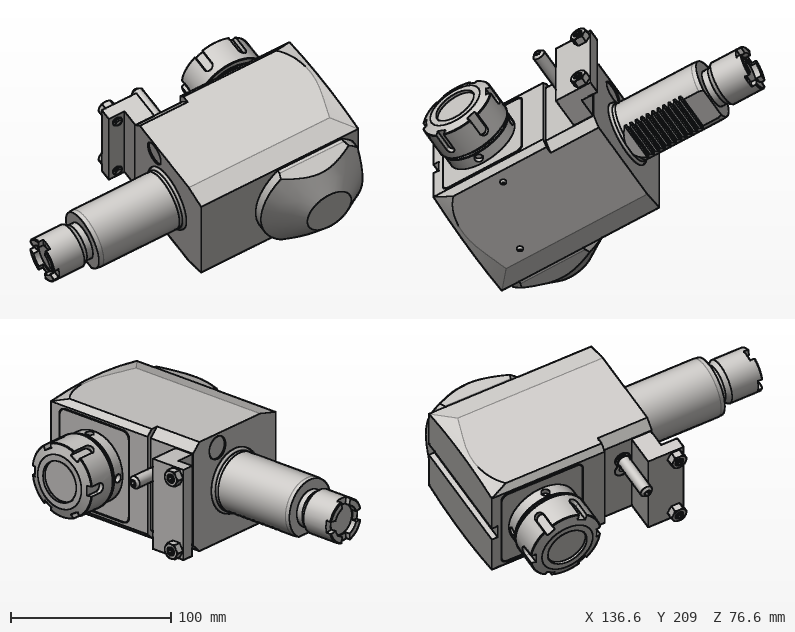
import math

import cadquery as cq


HALF_HEIGHT = 37.5
BODY_LENGTH = 116.0
BODY_RIGHT = 39.0
HEAD_LEFT = -42.0
FOOT_LEFT = -39.0
FOOT_LENGTH = 35.3
HEAD_CHAMFER = 4.0
FOOT_CHAMFER = 6.0
TAPER_RUN = 14.7
TAPER_TAN = math.tan(math.radians(15))
TAPER_DROP = TAPER_RUN * TAPER_TAN
BEVEL_LENGTH = 12.2
BEVEL_CREST_X = -13.0
BEVEL_CREST_LENGTH = 3.2
BEVEL_CREST_DROP = 0.9
CREST_START_DIRECTION = cq.Vector(1, 0.95, 0)
CREST_END_DIRECTION = cq.Vector(1, -0.3, 0)
KEYWAY_WIDTH = 10.2
KEYWAY_DEPTH = 4.1
PORT_X = -16.0
PORT_Z = 27.8
PORT_RADIUS = 7.7
PORT_DEPTH = 1.0

SEAM_LENGTH = 58.4
SEAM_HEIGHT = 63.4
SEAM_CORNER = 5.0
SEAM_WIDTH = 0.4
SEAM_DEPTH = 0.4

SPINDLE_Y = 80.0
COLLAR_RADIUS = 23.9
COLLAR_FRONT = -50.2
COLLAR_HOLE_X = -46.3
COLLAR_HOLE_RADIUS = 2.75
COLLAR_HOLE_DEPTH = 4.0
NECK_RADIUS = 20.8
NUT_RADIUS = 25.0
NUT_REAR = -52.4
NUT_TIP = -74.4
NUT_CONE_LENGTH = 2.2
NUT_EDGE_CHAMFER = 0.4
NUT_FACE_RADIUS = 18.2
NUT_BORE_RADIUS = 13.9
NUT_BORE_DEPTH = 2.0
NUT_SLOT_DEPTH = 3.3
NUT_SLOT_WIDTH = 6.2
NUT_SLOT_LENGTH = 17.0
NUT_SIDE_SLOT_WIDTH = 6.8
NUT_SIDE_SLOT_LENGTH = 12.9

COVER_RADIUS = 39.8
COVER_TIP_RADIUS = 16.2
COVER_RIM_END = 45.2
COVER_TIP = 62.2
COVER_BACK_FLAT = 31.6
COVER_HALF_HEIGHT = 32.0
COVER_TAPER_START = 41.3

FLANGE_RADIUS = 21.8
FLANGE_LENGTH = 1.9
FLANGE_FILLET = 1.4
SHANK_SEAT_RADIUS = 20.0
SHANK_SEAT_END = -3.7
SHANK_RADIUS = 19.9
SHANK_RELIEF_LENGTH = 0.3
SHANK_END = -63.1
SHANK_CHAMFER_START = -60.0
SHANK_END_RADIUS = 19.5
DRIVE_NECK_RADIUS = 12.5
DRIVE_NECK_END = -67.5
DRIVE_RADIUS = 14.8
DRIVE_START = -70.8
DRIVE_END = -93.0
DRIVE_CHAMFER = 0.6
DRIVE_BORE_RADIUS = 10.3
DRIVE_BORE_DEPTH = 4.2
DRIVE_SLOT_DEPTH = 3.5
DRIVE_SLOT_INNER_WIDTH = 6.3
DRIVE_SLOT_OUTER_WIDTH = 8.6

TOOTH_TIP_Z = -16.3
TOOTH_ROOT_Z = -14.6
TOOTH_PITCH = 4.0
TOOTH_COUNT = 11
TOOTH_ROOT_WIDTH = 1.2
TOOTH_TIP_WIDTH = 0.8
FIRST_ROOT_Y = -7.5

BRACKET_LEFT = -60.4
BRACKET_LEG_THICKNESS = 8.3
BRACKET_TOP_Y = 14.5
BRACKET_STEP_Y = 0.6
BRACKET_BOTTOM_Y = -10.9
BRACKET_HALF_HEIGHT = 31.0
SCREW_Y = -4.9
SCREW_Z = 25.0
SCREW_RADIUS = 3.2
SCREW_PROJECTION = 2.0
SCREW_TIP = -66.2
SCREW_END_CHAMFER = 0.9
SCREW_SOCKET_FLATS = 3.0
SCREW_SOCKET_DEPTH = 3.0
LOCKNUT_FLATS = 9.9
LOCKNUT_HEIGHT = 5.2
LOCKNUT_CHAMFER = 0.7

PIN_Y = 21.1
PIN_Z = 16.0
PIN_RADIUS = 4.1
PIN_TIP = -71.8
PIN_CHAMFER = 1.8
PIN_COLLAR_RADIUS = 5.3
PIN_COLLAR_HEIGHT = 2.0
PIN_COLLAR_CHAMFER = 0.8
PIN_SOCKET_FLATS = 3.4
PIN_SOCKET_DEPTH = 3.0
PLUG_Z = 6.2
PLUG_RADIUS = 5.2
PLUG_RECESS = 0.3
PLUG_HOLE_RADIUS = 1.8
PLUG_HOLE_DEPTH = 3.0

BUTTON_RADIUS = 2.0
BUTTON_TIP_RADIUS = 0.7
BUTTON_HEIGHT = 1.6
BUTTON_PLACES = [(-30.5, 71.8), (16.7, 88.7)]

EMBED = 2.0


def x_plane(x, y=0.0, z=0.0):
    """Sketch plane at x whose local axes are Y and Z and whose normal is +X."""
    return cq.Workplane("YZ", origin=(x, y, z))


def turned_about_x(points, y, z=0.0):
    """Solid of revolution from (x, radius) points about the X-parallel line through y, z."""
    profile = cq.Workplane("XY", origin=(0, y, z)).polyline(points).close()
    return profile.revolve(360, (0, 0, 0), (1, 0, 0))


def turned_about_y(points):
    """Solid of revolution from (radius, y) points about the Y axis."""
    return cq.Workplane("XY").polyline(points).close().revolve(360, (0, 0, 0), (0, 1, 0))


def mirrored_in_z(points):
    """Close an upper outline of (x, z) points with its mirror image below Z = 0."""
    return points + [(x, -z) for x, z in reversed(points)]


def housing_length(left, chamfer, y_start, y_end):
    """Length of housing with chamfered left edges and tapered right edges."""
    upper = [
        (left, HALF_HEIGHT - chamfer),
        (left + chamfer, HALF_HEIGHT),
        (BODY_RIGHT - TAPER_RUN, HALF_HEIGHT),
        (BODY_RIGHT, HALF_HEIGHT - TAPER_DROP),
    ]
    profile = cq.Workplane("XZ", origin=(0, y_start, 0)).polyline(mirrored_in_z(upper)).close()
    return profile.extrude(y_start - y_end)


def rear_bevel():
    """Waste above the curved rear bevel, whose lower edge is bowed and whose upper edge is a crest."""
    bevel_y = BODY_LENGTH - BEVEL_LENGTH
    rear_edge = cq.Edge.makeThreePointArc(
        cq.Vector(HEAD_LEFT, BODY_LENGTH, HALF_HEIGHT - HEAD_CHAMFER),
        cq.Vector(BEVEL_CREST_X, BODY_LENGTH, HALF_HEIGHT - BEVEL_CREST_DROP),
        cq.Vector(BODY_RIGHT, BODY_LENGTH, HALF_HEIGHT - TAPER_DROP),
    )
    crest = cq.Edge.makeSpline(
        [
            cq.Vector(HEAD_LEFT + HEAD_CHAMFER, bevel_y, HALF_HEIGHT),
            cq.Vector(BEVEL_CREST_X, BODY_LENGTH - BEVEL_CREST_LENGTH, HALF_HEIGHT),
            cq.Vector(BODY_RIGHT - TAPER_RUN, bevel_y, HALF_HEIGHT),
        ],
        tangents=[CREST_START_DIRECTION, CREST_END_DIRECTION],
    )
    surface = cq.Face.makeRuledSurface(rear_edge, crest)
    return cq.Workplane(cq.Solid.extrudeLinear(surface, cq.Vector(0, BEVEL_LENGTH, BEVEL_LENGTH)))


def housing():
    body = housing_length(HEAD_LEFT, HEAD_CHAMFER, FOOT_LENGTH, BODY_LENGTH)
    body = body.union(housing_length(FOOT_LEFT, FOOT_CHAMFER, 0, FOOT_LENGTH))
    waste = rear_bevel()
    body = body.cut(waste).cut(waste.mirror("XY"))
    width = BODY_RIGHT - HEAD_LEFT
    keyway = cq.Workplane("XY").box(2 * width, 2 * KEYWAY_DEPTH, KEYWAY_WIDTH)
    body = body.cut(keyway.translate((0, BODY_LENGTH, 0)))
    port = cq.Workplane("XZ", origin=(PORT_X, 0, PORT_Z)).circle(PORT_RADIUS).extrude(-PORT_DEPTH)
    return body.cut(port).cut(flange_seam())


def flange_seam():
    start = x_plane(HEAD_LEFT, SPINDLE_Y)
    outer = start.rect(SEAM_LENGTH, SEAM_HEIGHT).extrude(SEAM_DEPTH).edges("|X").fillet(SEAM_CORNER)
    inner_length = SEAM_LENGTH - 2 * SEAM_WIDTH
    inner_height = SEAM_HEIGHT - 2 * SEAM_WIDTH
    inner = start.rect(inner_length, inner_height).extrude(SEAM_DEPTH)
    return outer.cut(inner.edges("|X").fillet(SEAM_CORNER - SEAM_WIDTH))


def nut_slot(angle, width, length):
    """Wrench slot on the nut rim, open at the tip and round at its inner end."""
    end_center = NUT_TIP + length - width / 2
    slot = (
        cq.Workplane("XY", origin=(0, SPINDLE_Y, NUT_RADIUS - NUT_SLOT_DEPTH))
        .moveTo(NUT_TIP - EMBED, -width / 2)
        .lineTo(end_center, -width / 2)
        .threePointArc((NUT_TIP + length, 0), (end_center, width / 2))
        .lineTo(NUT_TIP - EMBED, width / 2)
        .close()
        .extrude(2 * NUT_SLOT_DEPTH)
    )
    return slot.rotate((0, SPINDLE_Y, 0), (1, SPINDLE_Y, 0), angle)


def spindle():
    bore_floor = NUT_TIP + NUT_BORE_DEPTH
    cone_start = NUT_TIP + NUT_CONE_LENGTH
    body = turned_about_x(
        [
            (HEAD_LEFT + EMBED, 0),
            (HEAD_LEFT + EMBED, COLLAR_RADIUS),
            (COLLAR_FRONT + NUT_EDGE_CHAMFER, COLLAR_RADIUS),
            (COLLAR_FRONT, COLLAR_RADIUS - NUT_EDGE_CHAMFER),
            (COLLAR_FRONT, NECK_RADIUS),
            (NUT_REAR, NECK_RADIUS),
            (NUT_REAR, NUT_RADIUS - NUT_EDGE_CHAMFER),
            (NUT_REAR - NUT_EDGE_CHAMFER, NUT_RADIUS),
            (cone_start + NUT_EDGE_CHAMFER, NUT_RADIUS),
            (cone_start, NUT_RADIUS - NUT_EDGE_CHAMFER),
            (NUT_TIP, NUT_FACE_RADIUS),
            (NUT_TIP, NUT_BORE_RADIUS),
            (bore_floor, NUT_BORE_RADIUS),
            (bore_floor, 0),
        ],
        SPINDLE_Y,
    )
    for angle in range(30, 390, 60):
        is_side_slot = angle % 180 == 90
        width = NUT_SIDE_SLOT_WIDTH if is_side_slot else NUT_SLOT_WIDTH
        length = NUT_SIDE_SLOT_LENGTH if is_side_slot else NUT_SLOT_LENGTH
        body = body.cut(nut_slot(angle, width, length))
    hole_start = COLLAR_RADIUS - COLLAR_HOLE_DEPTH
    hole = cq.Workplane("XY", origin=(COLLAR_HOLE_X, SPINDLE_Y, hole_start)).circle(COLLAR_HOLE_RADIUS)
    hole = hole.extrude(2 * COLLAR_HOLE_DEPTH)
    for angle in range(0, 360, 90):
        body = body.cut(hole.rotate((0, SPINDLE_Y, 0), (1, SPINDLE_Y, 0), angle))
    return body


def cover():
    """Conical cover trimmed flat at the back and tapered above and below."""
    start = BODY_RIGHT - EMBED
    cone = turned_about_x(
        [
            (start, 0),
            (start, COVER_RADIUS),
            (COVER_RIM_END, COVER_RADIUS),
            (COVER_TIP, COVER_TIP_RADIUS),
            (COVER_TIP, 0),
        ],
        SPINDLE_Y,
    )
    tip_height = COVER_HALF_HEIGHT - (COVER_TIP - COVER_TAPER_START) * TAPER_TAN
    upper = [(start, COVER_HALF_HEIGHT), (COVER_TAPER_START, COVER_HALF_HEIGHT), (COVER_TIP, tip_height)]
    back_y = SPINDLE_Y + COVER_BACK_FLAT
    envelope = cq.Workplane("XZ", origin=(0, back_y, 0)).polyline(mirrored_in_z(upper)).close()
    return cone.intersect(envelope.extrude(COVER_BACK_FLAT + COVER_RADIUS))


def shank_teeth():
    """Waste under the shank: trapezoidal tooth gaps with a 45 degree run-out beside the
    housing, then a plain flat out to the shank end."""
    half_root = TOOTH_ROOT_WIDTH / 2
    half_gap = (TOOTH_PITCH - TOOTH_TIP_WIDTH) / 2
    bottom_z = -FLANGE_RADIUS
    runout_y = FIRST_ROOT_Y + half_root + TOOTH_ROOT_Z - bottom_z
    outline = [(runout_y, bottom_z)]
    for tooth in range(TOOTH_COUNT):
        root_y = FIRST_ROOT_Y - tooth * TOOTH_PITCH
        if tooth > 0:
            outline.append((root_y + half_gap, TOOTH_TIP_Z))
        outline.append((root_y + half_root, TOOTH_ROOT_Z))
        outline.append((root_y - half_root, TOOTH_ROOT_Z))
        outline.append((root_y - half_gap, TOOTH_TIP_Z))
    outline += [(SHANK_END, TOOTH_TIP_Z), (SHANK_END, bottom_z)]
    return cq.Workplane("YZ").polyline(outline).close().extrude(SHANK_SEAT_RADIUS, both=True)


def shank():
    body = turned_about_y(
        [
            (0, EMBED),
            (SHANK_SEAT_RADIUS, EMBED),
            (SHANK_SEAT_RADIUS, SHANK_SEAT_END),
            (SHANK_RADIUS, SHANK_SEAT_END - SHANK_RELIEF_LENGTH),
            (SHANK_RADIUS, SHANK_CHAMFER_START),
            (SHANK_END_RADIUS, SHANK_END),
            (DRIVE_NECK_RADIUS, SHANK_END),
            (DRIVE_NECK_RADIUS, DRIVE_NECK_END),
            (DRIVE_RADIUS, DRIVE_START),
            (DRIVE_RADIUS, DRIVE_END + DRIVE_CHAMFER),
            (DRIVE_RADIUS - DRIVE_CHAMFER, DRIVE_END),
            (0, DRIVE_END),
        ]
    )
    body = body.cut(shank_teeth())
    flange = cq.Workplane("XZ").circle(FLANGE_RADIUS).extrude(FLANGE_LENGTH)
    flange = flange.faces("<Y").edges().fillet(FLANGE_FILLET)
    body = body.union(flange)

    end = cq.Workplane("XZ", origin=(0, DRIVE_END, 0))
    body = body.cut(end.circle(DRIVE_BORE_RADIUS).extrude(-DRIVE_BORE_DEPTH))
    inner = DRIVE_SLOT_INNER_WIDTH / 2
    outer = DRIVE_SLOT_OUTER_WIDTH / 2
    slot_start = DRIVE_BORE_RADIUS - EMBED
    slot_outline = [(-inner, slot_start), (-outer, DRIVE_RADIUS), (outer, DRIVE_RADIUS), (inner, slot_start)]
    slot = end.polyline(slot_outline).close().extrude(-DRIVE_SLOT_DEPTH)
    for angle in range(0, 360, 90):
        body = body.cut(slot.rotate((0, 0, 0), (0, 1, 0), angle))
    return body


def hex_across_flats(workplane, flats):
    """Hexagon with two corners on the local horizontal axis."""
    return workplane.polygon(6, flats / math.cos(math.radians(30)))


def clamp_screw(z):
    """Socket set screw through the bracket leg, held by a hexagon locknut on the outer side."""
    nut_start = x_plane(BRACKET_LEFT - LOCKNUT_HEIGHT, SCREW_Y, z)
    nut = hex_across_flats(nut_start, LOCKNUT_FLATS).extrude(LOCKNUT_HEIGHT)
    corner_radius = LOCKNUT_FLATS / 2 / math.cos(math.radians(30))
    crown = nut_start.circle(corner_radius).extrude(LOCKNUT_HEIGHT).faces("<X").chamfer(LOCKNUT_CHAMFER)
    screw_end = BRACKET_LEFT + BRACKET_LEG_THICKNESS + SCREW_PROJECTION
    screw_start = x_plane(SCREW_TIP, SCREW_Y, z)
    screw = screw_start.circle(SCREW_RADIUS).extrude(screw_end - SCREW_TIP)
    screw = screw.faces("<X or >X").chamfer(SCREW_END_CHAMFER)
    socket = hex_across_flats(screw_start, SCREW_SOCKET_FLATS).extrude(SCREW_SOCKET_DEPTH)
    return nut.intersect(crown).union(screw).cut(socket)


def clamp_bracket():
    leg_right = BRACKET_LEFT + BRACKET_LEG_THICKNESS
    outline = [
        (BRACKET_LEFT, BRACKET_TOP_Y),
        (FOOT_LEFT + EMBED, BRACKET_TOP_Y),
        (FOOT_LEFT + EMBED, BRACKET_STEP_Y),
        (leg_right, BRACKET_STEP_Y),
        (leg_right, BRACKET_BOTTOM_Y),
        (BRACKET_LEFT, BRACKET_BOTTOM_Y),
    ]
    body = cq.Workplane("XY").polyline(outline).close().extrude(BRACKET_HALF_HEIGHT, both=True)
    for z in (-SCREW_Z, SCREW_Z):
        body = body.union(clamp_screw(z))
    return body


def locating_pin():
    collar_left = FOOT_LEFT - PIN_COLLAR_HEIGHT
    body = turned_about_x(
        [
            (FOOT_LEFT + EMBED, 0),
            (FOOT_LEFT + EMBED, PIN_COLLAR_RADIUS),
            (collar_left + PIN_COLLAR_CHAMFER, PIN_COLLAR_RADIUS),
            (collar_left, PIN_COLLAR_RADIUS - PIN_COLLAR_CHAMFER),
            (collar_left, PIN_RADIUS),
            (PIN_TIP + PIN_CHAMFER, PIN_RADIUS),
            (PIN_TIP, PIN_RADIUS - PIN_CHAMFER),
            (PIN_TIP, 0),
        ],
        PIN_Y,
        PIN_Z,
    )
    socket = hex_across_flats(x_plane(PIN_TIP, PIN_Y, PIN_Z), PIN_SOCKET_FLATS)
    return body.cut(socket.extrude(PIN_SOCKET_DEPTH))


def plug_recess():
    start = x_plane(FOOT_LEFT, PIN_Y, PLUG_Z)
    return start.circle(PLUG_RADIUS).extrude(PLUG_RECESS).union(
        start.circle(PLUG_HOLE_RADIUS).extrude(PLUG_HOLE_DEPTH)
    )


def button(x, y):
    start = cq.Workplane("XY", origin=(x, y, -HALF_HEIGHT))
    tapered = start.circle(BUTTON_RADIUS).workplane(offset=-BUTTON_HEIGHT).circle(BUTTON_TIP_RADIUS).loft()
    return tapered.union(start.circle(BUTTON_RADIUS).extrude(EMBED))


result = housing().cut(plug_recess())
for piece in (spindle(), cover(), shank(), clamp_bracket(), locating_pin()):
    result = result.union(piece)
for button_x, button_y in BUTTON_PLACES:
    result = result.union(button(button_x, button_y))